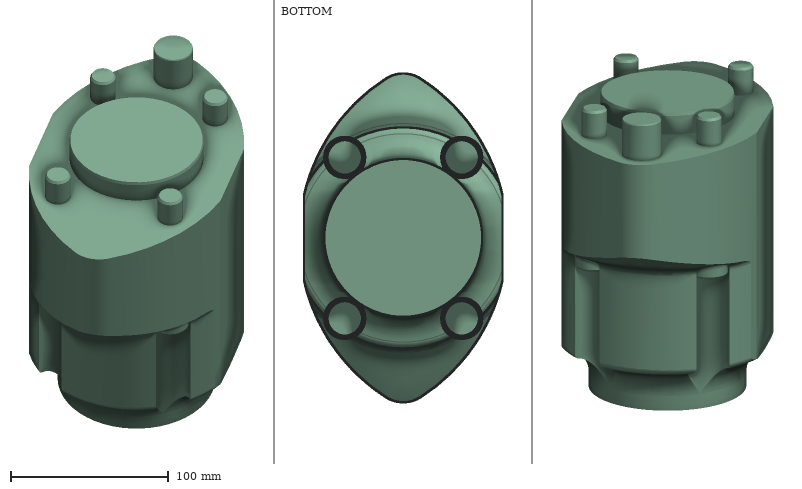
import cadquery as cq
import math

FLANGE_TOP = 182.0
REGISTER_TOP = 196.5
STUD_TOP = 200.3
DOWEL_TOP = 206.0
FOOT_HEIGHT = 10.0
HEAD_BOTTOM = 94.0

FLAT_HALF_WIDTH = 63.0
SIDE_RADIUS = 120.0
SIDE_CENTRE_OFFSET = 54.0
TIP_RADIUS = 20.0

FOOT_RADIUS = 50.0
BODY_RADIUS = 70.0
SKIRT_RADIUS = BODY_RADIUS - FOOT_RADIUS
EDGE_ROUND = 5.0
CONE_ANGLE = math.radians(30.0)
CONE_START = 100.0
CONE_ROUND = 5.0

REGISTER_RADIUS = 85.0 / 2
REGISTER_LEAD_HEIGHT = 2.0
REGISTER_LEAD_ANGLE = math.radians(15.0)
DOWEL_RADIUS = 24.9 / 2
DOWEL_OFFSET = 83.0
DOWEL_CHAMFER_WIDTH = 0.4
DOWEL_CHAMFER_HEIGHT = 0.8

SCREW_CIRCLE_RADIUS = 63.0
SCREW_ANGLE = 54.0
STUD_RADIUS = 8.0
STUD_CHAMFER_WIDTH = 1.08
STUD_CHAMFER_HEIGHT = 1.6
SCALLOP_RADIUS = 13.0
HEAD_RADIUS = 24.0 / 2
HEAD_CHAMFER_WIDTH = 1.08
HEAD_CHAMFER_HEIGHT = 1.6
HEAD_HEIGHT = 16.0
HEAD_SEAT = HEAD_BOTTOM + HEAD_HEIGHT


def lens_prism():
    """Lens outline extruded over the full body height."""
    flat_end = math.sqrt(SIDE_RADIUS**2 - (FLAT_HALF_WIDTH + SIDE_CENTRE_OFFSET) ** 2)
    centre_gap = SIDE_RADIUS - TIP_RADIUS
    tip_centre = math.sqrt(centre_gap**2 - SIDE_CENTRE_OFFSET**2)
    tip_end_x = TIP_RADIUS * SIDE_CENTRE_OFFSET / centre_gap
    tip_end_y = SIDE_RADIUS * tip_centre / centre_gap
    tip = tip_centre + TIP_RADIUS

    radii_sum_x = FLAT_HALF_WIDTH + tip_end_x + 2 * SIDE_CENTRE_OFFSET
    radii_sum_y = flat_end + tip_end_y
    side_middle_angle = math.atan2(radii_sum_y, radii_sum_x)
    side_middle_x = SIDE_RADIUS * math.cos(side_middle_angle) - SIDE_CENTRE_OFFSET
    side_middle_y = SIDE_RADIUS * math.sin(side_middle_angle)

    return (
        cq.Workplane("XY")
        .moveTo(FLAT_HALF_WIDTH, -flat_end)
        .lineTo(FLAT_HALF_WIDTH, flat_end)
        .threePointArc((side_middle_x, side_middle_y), (tip_end_x, tip_end_y))
        .threePointArc((0, tip), (-tip_end_x, tip_end_y))
        .threePointArc((-side_middle_x, side_middle_y), (-FLAT_HALF_WIDTH, flat_end))
        .lineTo(-FLAT_HALF_WIDTH, -flat_end)
        .threePointArc((-side_middle_x, -side_middle_y), (-tip_end_x, -tip_end_y))
        .threePointArc((0, -tip), (tip_end_x, -tip_end_y))
        .threePointArc((side_middle_x, -side_middle_y), (FLAT_HALF_WIDTH, -flat_end))
        .close()
        .extrude(FLANGE_TOP)
    )


def turned_envelope():
    """Foot, hollow skirt, round body and cone, turned about Z."""

    def on_circle(centre, radius, angle):
        return (centre[0] + radius * math.cos(angle), centre[1] + radius * math.sin(angle))

    skirt_centre = (FOOT_RADIUS + SKIRT_RADIUS, FOOT_HEIGHT)
    round_x = BODY_RADIUS - EDGE_ROUND
    lean = math.asin((skirt_centre[0] - round_x) / (SKIRT_RADIUS + EDGE_ROUND))
    round_centre = (round_x, FOOT_HEIGHT + (SKIRT_RADIUS + EDGE_ROUND) * math.cos(lean))
    skirt_end_angle = math.pi / 2 + lean
    skirt_end = on_circle(skirt_centre, SKIRT_RADIUS, skirt_end_angle)
    skirt_middle = on_circle(skirt_centre, SKIRT_RADIUS, (math.pi + skirt_end_angle) / 2)
    round_middle = on_circle(round_centre, EDGE_ROUND, (lean - math.pi / 2) / 2)

    turn = math.pi / 2 - CONE_ANGLE
    tangent = CONE_ROUND * math.tan(turn / 2)
    inside_centre = (BODY_RADIUS + CONE_ROUND, CONE_START - tangent)
    inside_middle = on_circle(inside_centre, CONE_ROUND, math.pi - turn / 2)
    inside_end = on_circle(inside_centre, CONE_ROUND, math.pi - turn)

    outer_radius = SIDE_RADIUS
    cone_end = CONE_START + (outer_radius - BODY_RADIUS) * math.tan(CONE_ANGLE)

    return (
        cq.Workplane("XZ")
        .moveTo(0, 0)
        .lineTo(FOOT_RADIUS, 0)
        .lineTo(FOOT_RADIUS, FOOT_HEIGHT)
        .threePointArc(skirt_middle, skirt_end)
        .threePointArc(round_middle, (BODY_RADIUS, round_centre[1]))
        .lineTo(BODY_RADIUS, inside_centre[1])
        .threePointArc(inside_middle, inside_end)
        .lineTo(outer_radius, cone_end)
        .lineTo(outer_radius, FLANGE_TOP)
        .lineTo(0, FLANGE_TOP)
        .close()
        .revolve(360, (0, 0, 0), (0, 1, 0))
    )


def cylinder(x, y, radius, bottom, top):
    return cq.Workplane("XY", origin=(x, y, bottom)).circle(radius).extrude(top - bottom)


def pin(x, y, radius, top, chamfer_height, chamfer_width):
    """Upright round feature on the flange face with a chamfered top edge."""
    shank = cylinder(x, y, radius, FLANGE_TOP, top)
    return shank.faces(">Z").chamfer(chamfer_height, chamfer_width)


def screw_head(x, y):
    """Screw head with a chamfered lower edge, seated against the top of its scallop."""
    head = cylinder(x, y, HEAD_RADIUS, HEAD_BOTTOM, HEAD_SEAT)
    return head.faces("<Z").chamfer(HEAD_CHAMFER_HEIGHT, HEAD_CHAMFER_WIDTH)


body = lens_prism().intersect(turned_envelope())

screw_x = SCREW_CIRCLE_RADIUS * math.cos(math.radians(SCREW_ANGLE))
screw_y = SCREW_CIRCLE_RADIUS * math.sin(math.radians(SCREW_ANGLE))
screw_places = [(sx * screw_x, sy * screw_y) for sx in (-1, 1) for sy in (-1, 1)]

for x, y in screw_places:
    scallop = cylinder(x, y, SCALLOP_RADIUS, 0, HEAD_SEAT)
    stud = pin(x, y, STUD_RADIUS, STUD_TOP, STUD_CHAMFER_HEIGHT, STUD_CHAMFER_WIDTH)
    body = body.cut(scallop).union(screw_head(x, y)).union(stud)

register_lead_width = REGISTER_LEAD_HEIGHT * math.tan(REGISTER_LEAD_ANGLE)
register = pin(0, 0, REGISTER_RADIUS, REGISTER_TOP, REGISTER_LEAD_HEIGHT, register_lead_width)
dowel = pin(0, DOWEL_OFFSET, DOWEL_RADIUS, DOWEL_TOP, DOWEL_CHAMFER_HEIGHT, DOWEL_CHAMFER_WIDTH)

result = body.union(register).union(dowel)